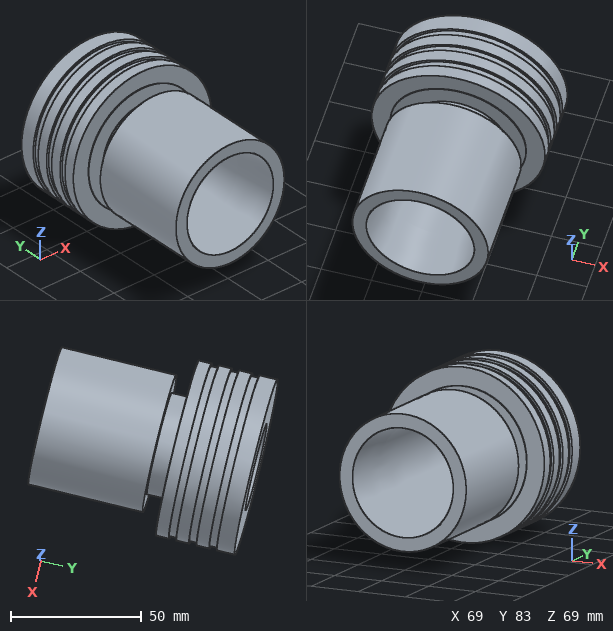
import cadquery as cq

total_length = 83.0

head_diameter = 69.0
groove_diameter = 67.0
groove_width = 3.0
groove_count = 3
land_width = 5.0
end_land_width = 7.0
collar_diameter = 54.0
collar_length = 45.0
neck_diameter = 40.0
face_step_height = 0.25

mouth_diameter = 43.0
socket_end_diameter = 39.35
socket_depth = 19.0
exit_diameter = 34.0

groove_pitch = groove_width + land_width
head_length = end_land_width + groove_count * groove_pitch
back_y = total_length / 2
front_y = -back_y
head_front_y = back_y - head_length


def disc(diameter, start_y, length):
    """Solid cylinder about Y, growing from start_y toward +Y."""
    plane = cq.Plane(origin=(0, start_y, 0), xDir=(1, 0, 0), normal=(0, 1, 0))
    return cq.Workplane(plane).circle(diameter / 2).extrude(length)


def make_head():
    head = disc(head_diameter, head_front_y, head_length)
    for index in range(groove_count):
        groove_y = head_front_y + land_width + index * groove_pitch
        ring = disc(head_diameter, groove_y, groove_width)
        ring = ring.cut(disc(groove_diameter, groove_y, groove_width))
        head = head.cut(ring)
    face_step = disc(collar_diameter, head_front_y - face_step_height, face_step_height)
    return head.union(face_step)


def make_bore():
    socket_end_y = front_y + socket_depth
    return (
        cq.Workplane("XY")
        .moveTo(0, front_y)
        .lineTo(mouth_diameter / 2, front_y)
        .lineTo(socket_end_diameter / 2, socket_end_y)
        .lineTo(exit_diameter / 2, back_y)
        .lineTo(0, back_y)
        .close()
        .revolve(360, (0, 0, 0), (0, 1, 0))
    )


collar = disc(collar_diameter, front_y, collar_length)
neck = disc(neck_diameter, front_y, total_length - head_length)
result = make_head().union(neck).union(collar).cut(make_bore())